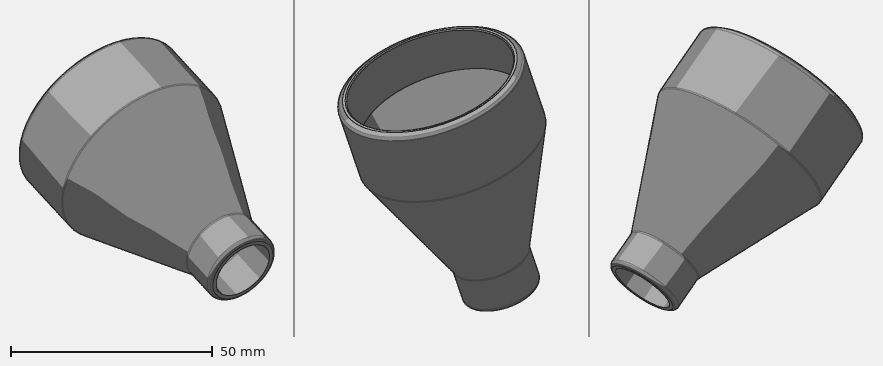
import cadquery as cq
import math

length = 64.0
large_radius = 48.3 / 2
large_bore_radius = 43.1 / 2
small_radius = 20.0 / 2
small_bore_radius = 16.0 / 2
large_collar_length = 20.0
small_collar_length = 10.0
bore_straight_length = 12.0
mouth_chamfer = 0.3

land_width = 1.0
bevel_angle = math.radians(30)
edge_round = 1.0

large_end = -length / 2
small_end = length / 2
cone_start = large_end + large_collar_length
cone_end = small_end - small_collar_length
bore_cone_start = large_end + bore_straight_length

large_land_radius = large_bore_radius + land_width
small_land_radius = small_bore_radius + land_width
large_bevel_length = (large_radius - large_land_radius) * math.tan(bevel_angle)
small_bevel_length = (small_radius - small_land_radius) * math.tan(bevel_angle)


def rounded_profile(corners):
    """Close the (x, radius, round) corners into a wire with tangent arcs at rounded corners."""
    profile = cq.Workplane("XY")
    started = False
    for index, (x, radius, rounding) in enumerate(corners):
        corner = cq.Vector(x, radius)
        if rounding == 0:
            profile = profile.lineTo(x, radius) if started else profile.moveTo(x, radius)
            started = True
            continue
        before = (cq.Vector(*corners[index - 1][:2]) - corner).normalized()
        after = (cq.Vector(*corners[(index + 1) % len(corners)][:2]) - corner).normalized()
        half_angle = before.getAngle(after) / 2
        setback = rounding / math.tan(half_angle)
        inset = rounding / math.sin(half_angle) - rounding
        arc_start = corner + before * setback
        arc_middle = corner + (before + after).normalized() * inset
        arc_end = corner + after * setback
        profile = profile.lineTo(arc_start.x, arc_start.y)
        profile = profile.threePointArc((arc_middle.x, arc_middle.y), (arc_end.x, arc_end.y))
    return profile.close()


wall_corners = [
    (large_end + mouth_chamfer, large_bore_radius, 0),
    (large_end, large_bore_radius + mouth_chamfer, 0),
    (large_end, large_land_radius, 0),
    (large_end + large_bevel_length, large_radius, edge_round),
    (cone_start, large_radius, edge_round),
    (cone_end, small_radius, edge_round),
    (small_end - small_bevel_length, small_radius, edge_round),
    (small_end, small_land_radius, 0),
    (small_end, small_bore_radius, 0),
    (cone_end, small_bore_radius, 0),
    (bore_cone_start, large_bore_radius, 0),
]

result = rounded_profile(wall_corners).revolve(360, (0, 0, 0), (1, 0, 0))